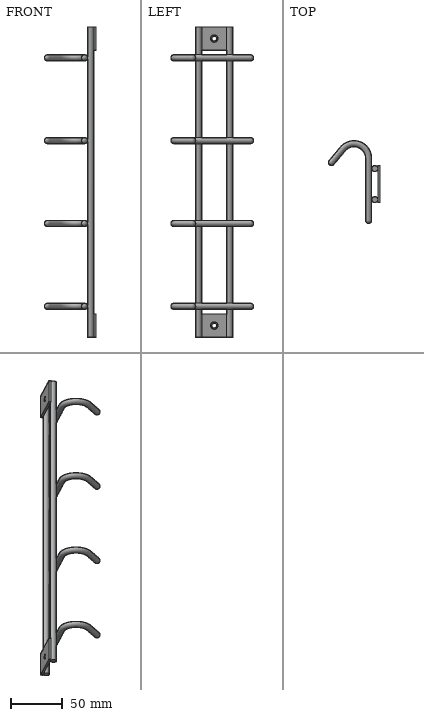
import cadquery as cq
import math

rack_height = 300.0
rod_diameter = 6.0
rod_radius = rod_diameter / 2
rail_spacing = 30.0

plate_thickness = 2.0
plate_height = 22.8
plate_width = rail_spacing + rod_diameter
screw_hole_diameter = 4.5
countersink_diameter = 7.2
countersink_angle = 90.0

hook_count = 4
hook_end_margin = 30.0
hook_pitch = (rack_height - 2 * hook_end_margin) / (hook_count - 1)
hook_straight_length = 60.0
bend_start_y = 25.0
bend_radius = 14.0
tip_length = 17.0
tip_angle = 40.0

plate_front_x = rod_radius
hook_x = -rod_diameter


def make_rail(y):
    return (
        cq.Workplane("XY", origin=(0, y, -rack_height / 2))
        .circle(rod_radius)
        .extrude(rack_height)
    )


def make_plate(z):
    plate = cq.Workplane("XY").box(
        plate_thickness, plate_width, plate_height, centered=(False, True, True)
    )
    plate = plate.faces("<X").workplane().cskHole(
        screw_hole_diameter, countersink_diameter, countersink_angle
    )
    return plate.translate((plate_front_x, 0, z))


def make_hook(z):
    end_angle = math.radians(180 - tip_angle)
    middle_angle = end_angle / 2
    bend_center_x = hook_x - bend_radius

    def bend_point(angle):
        return (
            bend_center_x + bend_radius * math.cos(angle),
            bend_start_y + bend_radius * math.sin(angle),
        )

    shank_end = (hook_x, bend_start_y - hook_straight_length)
    bend_end = bend_point(end_angle)
    tip_end = (
        bend_end[0] - tip_length * math.sin(end_angle),
        bend_end[1] + tip_length * math.cos(end_angle),
    )
    path = (
        cq.Workplane("XY", origin=(0, 0, z))
        .moveTo(*shank_end)
        .lineTo(hook_x, bend_start_y)
        .threePointArc(bend_point(middle_angle), bend_end)
        .lineTo(*tip_end)
    )
    hook = (
        cq.Workplane("XZ", origin=(shank_end[0], shank_end[1], z))
        .circle(rod_radius)
        .sweep(path)
    )
    for x, y in (shank_end, tip_end):
        hook = hook.union(cq.Workplane("XY", origin=(x, y, z)).sphere(rod_radius))
    return hook


rails = [make_rail(side * rail_spacing / 2) for side in (-1, 1)]

plate_z = (rack_height - plate_height) / 2
plates = [make_plate(side * plate_z) for side in (-1, 1)]

first_hook_z = -rack_height / 2 + hook_end_margin
hooks = [make_hook(first_hook_z + i * hook_pitch) for i in range(hook_count)]

result = cq.Compound.makeCompound([body.solids().val() for body in rails + plates + hooks])